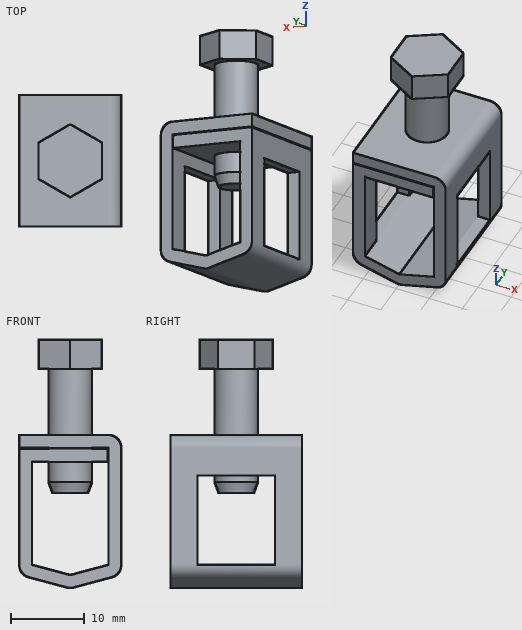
import cadquery as cq
import math

width = 14.0
depth = 18.0
thickness = 1.8
bend_angle = 15.0
strap_top = 20.97
tongue_gap = 0.1

window_width = 10.55
window_top = 15.4

total_height = 34.0
head_height = 4.0
head_across_corners = 10.0
shank_diameter = 6.0
tip_diameter = 4.85
tip_height = 1.5
screw_bottom = 13.0

half_width = width / 2
inner_half = half_width - thickness
inner_apex = thickness
inner_corner = inner_apex + inner_half * math.tan(math.radians(bend_angle))
slab_bottom = strap_top - thickness
tongue_top = slab_bottom - tongue_gap
tongue_bottom = tongue_top - thickness
tongue_end = inner_half - tongue_gap


def arc_point(center_x, center_z, degrees):
    """Point one strap thickness away from an inner bend corner."""
    angle = math.radians(degrees)
    return (center_x + thickness * math.cos(angle), center_z + thickness * math.sin(angle))


def make_strap():
    """Strip of constant thickness with its outer bends centred on the inner corners."""
    half_bend = (90 - bend_angle) / 2
    outline = (
        cq.Workplane("XZ", origin=(0, depth / 2, 0))
        .moveTo(-half_width, strap_top)
        .lineTo(inner_half, strap_top)
        .threePointArc(arc_point(inner_half, slab_bottom, 45), (half_width, slab_bottom))
        .lineTo(half_width, inner_corner)
        .threePointArc(
            arc_point(inner_half, inner_corner, -half_bend),
            arc_point(inner_half, inner_corner, -90 + bend_angle),
        )
        .lineTo(*arc_point(0, inner_apex, -90 + bend_angle))
        .threePointArc((0, 0), arc_point(0, inner_apex, -90 - bend_angle))
        .lineTo(*arc_point(-inner_half, inner_corner, -90 - bend_angle))
        .threePointArc(
            arc_point(-inner_half, inner_corner, 180 + half_bend),
            (-half_width, inner_corner),
        )
        .lineTo(-half_width, tongue_top)
        .lineTo(tongue_end, tongue_top)
        .lineTo(tongue_end, tongue_bottom)
        .lineTo(-inner_half, tongue_bottom)
        .lineTo(-inner_half, inner_corner)
        .lineTo(0, inner_apex)
        .lineTo(inner_half, inner_corner)
        .lineTo(inner_half, slab_bottom)
        .lineTo(-half_width, slab_bottom)
        .close()
    )
    return outline.extrude(depth)


def make_windows():
    """Rectangular opening through both side walls, starting at the lower bends."""
    return cq.Workplane("XY", origin=(0, 0, inner_corner)).box(
        width, window_width, window_top - inner_corner, centered=(True, True, False)
    )


def make_screw():
    """Hex-head screw with a tapered tip, corners of the head pointing along Y."""
    head_bottom = total_height - head_height
    tip_inset = (shank_diameter - tip_diameter) / 2
    shank = (
        cq.Workplane("XY", origin=(0, 0, screw_bottom))
        .circle(shank_diameter / 2)
        .extrude(head_bottom - screw_bottom)
        .faces("<Z")
        .chamfer(tip_height, tip_inset)
    )
    head = (
        cq.Workplane("XY", origin=(0, 0, head_bottom))
        .polygon(6, head_across_corners)
        .extrude(head_height)
        .rotate((0, 0, 0), (0, 0, 1), 90)
    )
    return shank.union(head)


result = make_strap().cut(make_windows()).union(make_screw())